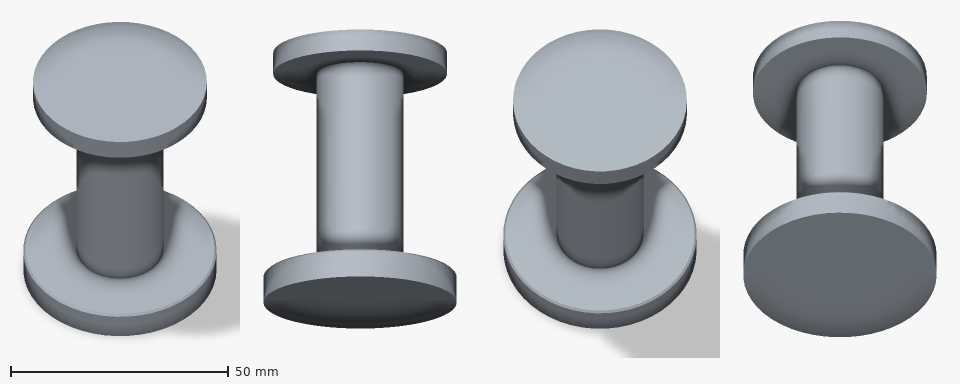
import cadquery as cq

total_height = 59.6
base_diameter = 44.45
base_thickness = 6.6
base_edge_chamfer = 0.5
stem_diameter = 20.0
head_diameter = 40.0
head_thickness = 5.0

stem_length = total_height - base_thickness - head_thickness


def disc(diameter, height, bottom):
    """Solid cylinder on the Z axis, standing on the given height."""
    return cq.Workplane("XY").workplane(offset=bottom).circle(diameter / 2).extrude(height)


base = disc(base_diameter, base_thickness, 0).faces(">Z").edges().chamfer(base_edge_chamfer)

stem = disc(stem_diameter, stem_length, base_thickness)
head = disc(head_diameter, head_thickness, base_thickness + stem_length)

result = base.union(stem).union(head)